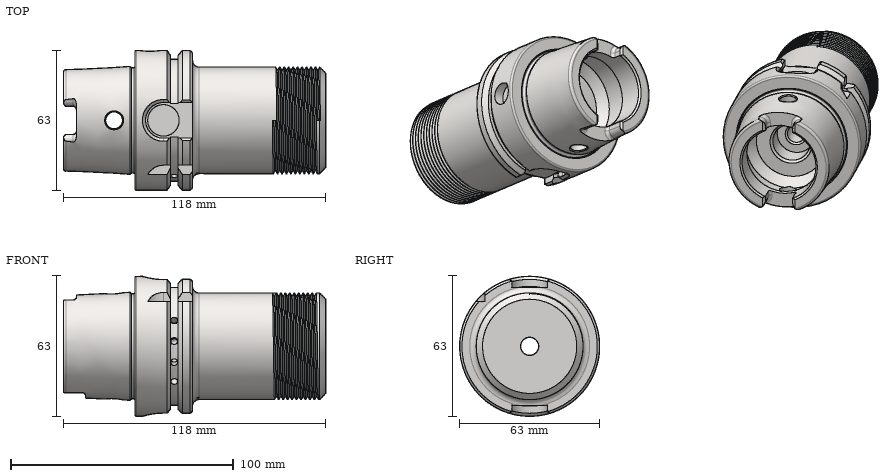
import cadquery as cq
import math

TOTAL_LENGTH = 118.0

MOUTH_RADIUS = 22.9
TAPER_END_X = 29.9
TAPER_SLOPE = 1 / 20
MOUTH_ROUND = 1.2
RELIEF_RADIUS = 23.7
RELIEF_START_X = 30.7
RELIEF_END_X = 31.4
FACE_RELIEF_RADIUS = 25.0
FACE_RELIEF_DEPTH = 0.2
FACE_RELIEF_FLARE = 0.5

FLANGE_X = 32.1
FLANGE_RADIUS = 31.5
FLANGE_EDGE_ROUND = 0.8
GROOVE_START_X = 48.1
GROOVE_END_X = 51.5
GROOVE_LIP_RADIUS = 29.3
GROOVE_FLOOR_RADIUS = 27.6
FRONT_LIP_LENGTH = 1.5
REAR_LIP_LENGTH = 2.0
FLANGE_END_X = 58.0
REAR_EDGE_CHAMFER = 1.1

NOSE_DIAMETER = 48.0
NOSE_RADIUS = NOSE_DIAMETER / 2
NOSE_FILLET = 3.0
NOSE_CHAMFER = 2.8
THREAD_PITCH = 2.0
THREAD_TURNS = 10
THREAD_DEPTH = 1.2
THREAD_CREST = THREAD_PITCH / 8
THREAD_ROOT = THREAD_PITCH / 4
THREAD_START_X = 94.8
THREAD_OVERSHOOT = 0.4

BORE_RADIUS = 16.9
BORE_CHAMFER = 0.8
BORE_GUIDE_DEPTH = 12.6
RECESS_RADIUS = 20.0
RECESS_END_X = 26.1
BORE_FLOOR_RADIUS = 15.8
BORE_DEPTH = RECESS_END_X + RECESS_RADIUS - BORE_FLOOR_RADIUS
TUBE_BORE_RADIUS = 8.5
TUBE_BORE_CHAMFER = 1.1
TUBE_BORE_DEPTH = 11.8
THROUGH_RADIUS = 4.0
THROUGH_CHAMFER = 0.8

KEY_HALF_WIDTH = 6.3
KEY_TOP_DEPTH = 5.8
KEY_BOTTOM_DEPTH = 9.9
KEY_FLARE_RADIUS = 3.0
KEY_FLARE_Z = 17.9
KEY_FLOOR_FILLET = 1.4
KEY_MOUTH_CHAMFER = 1.2
KEY_MOUTH_CHAMFER_LENGTH = 1.0

DRIVE_CENTRE_X = 45.0
DRIVE_HALF_WIDTH = 8.0
DRIVE_FLOOR_Z = 26.5
DRIVE_FRONT_CHAMFER = 1.4
DRIVE_REAR_CHAMFER = 1.1
POCKET_RADIUS = 7.1
POCKET_DEPTH = 2.7

NOTCH_WALL_Y = -20.2
NOTCH_FLOOR_Z = 20.1
BALANCE_ANGLES = (25, 5, -15, -35)
BALANCE_RADIUS = 1.5
BALANCE_DEPTH = 5.9
DRILL_POINT_ANGLE = 118
CHIP_HOLE_X = 38.9
CHIP_HOLE_RADIUS = 5.0
CHIP_HOLE_DEPTH = 4.6
CHIP_HOLE_ANGLE = 180
CROSS_HOLE_X = 22.8
CROSS_HOLE_RADIUS = 3.8
CROSS_HOLE_CHAMFER = 0.5

SELECT_MARGIN = 0.1
CLEARANCE = 5.9


def revolve_about_x(profile):
    """Turn a closed (x, radius) profile around the X axis."""
    return profile.close().revolve(360, (0, 0, 0), (1, 0, 0))


def mirrored_boxes(x_range, half_width, z_range):
    """Edge selector for a box above the axis and its mirror image below it."""
    low_x, high_x = x_range
    low_z, high_z = z_range
    upper = cq.selectors.BoxSelector((low_x, -half_width, low_z), (high_x, half_width, high_z))
    lower = cq.selectors.BoxSelector((low_x, -half_width, -high_z), (high_x, half_width, -low_z))
    return upper + lower


def shank():
    """Taper shank and its relief, still solid inside, running up to the gripper groove."""
    taper_end_radius = MOUTH_RADIUS + TAPER_SLOPE * (TAPER_END_X - MOUTH_ROUND)
    relief_floor_x = FLANGE_X + FACE_RELIEF_DEPTH
    fillet_radius = relief_floor_x - RELIEF_END_X
    relief_outer_radius = FACE_RELIEF_RADIUS + FACE_RELIEF_FLARE
    return revolve_about_x(
        cq.Workplane("XZ")
        .moveTo(0, 0)
        .lineTo(0, MOUTH_RADIUS - MOUTH_ROUND)
        .radiusArc((MOUTH_ROUND, MOUTH_RADIUS), MOUTH_ROUND)
        .lineTo(TAPER_END_X, taper_end_radius)
        .lineTo(RELIEF_START_X, RELIEF_RADIUS)
        .lineTo(RELIEF_END_X, RELIEF_RADIUS)
        .radiusArc((relief_floor_x, RELIEF_RADIUS + fillet_radius), -fillet_radius)
        .lineTo(relief_floor_x, FACE_RELIEF_RADIUS)
        .lineTo(FLANGE_X, relief_outer_radius)
        .lineTo(GROOVE_START_X, relief_outer_radius)
        .lineTo(GROOVE_START_X, 0)
    )


def drill_cross_hole(solid_shank):
    """Cross hole along Z through the solid shank, chamfered at both rims."""
    hole = (
        cq.Workplane("XY", origin=(CROSS_HOLE_X, 0, 0))
        .circle(CROSS_HOLE_RADIUS)
        .extrude(MOUTH_RADIUS + CLEARANCE, both=True)
    )
    drilled = solid_shank.cut(hole)
    rim_edges = mirrored_boxes(
        (CROSS_HOLE_X - CROSS_HOLE_RADIUS, CROSS_HOLE_X + CROSS_HOLE_RADIUS),
        CROSS_HOLE_RADIUS,
        (RELIEF_RADIUS - CROSS_HOLE_RADIUS, RELIEF_RADIUS + CLEARANCE),
    )
    return drilled.edges(rim_edges).chamfer(CROSS_HOLE_CHAMFER)


def drive_slot_cutter():
    """U-shaped slot above the top drive floor, open toward the nose."""
    height = FLANGE_RADIUS - DRIVE_FLOOR_Z + CLEARANCE
    end_x = FLANGE_END_X + CLEARANCE
    return (
        cq.Workplane("XY", origin=(0, 0, DRIVE_FLOOR_Z))
        .moveTo(end_x, -DRIVE_HALF_WIDTH)
        .lineTo(DRIVE_CENTRE_X, -DRIVE_HALF_WIDTH)
        .threePointArc((DRIVE_CENTRE_X - DRIVE_HALF_WIDTH, 0), (DRIVE_CENTRE_X, DRIVE_HALF_WIDTH))
        .lineTo(end_x, DRIVE_HALF_WIDTH)
        .close()
        .extrude(height)
    )


def both_sides(cutter):
    """A cutter at the top together with its mirror image at the bottom."""
    return cutter.union(cutter.mirror("XY"))


def slotted_disc(start_x, end_x, edge_chamfer):
    """Full-radius disc with both drive slots, bevelled where the slot walls meet its rim."""
    disc = cq.Workplane("YZ", origin=(start_x, 0, 0)).circle(FLANGE_RADIUS).extrude(end_x - start_x)
    disc = disc.cut(both_sides(drive_slot_cutter()))
    floor_corner = math.hypot(DRIVE_HALF_WIDTH, DRIVE_FLOOR_Z)
    rim_edges = mirrored_boxes(
        (start_x + SELECT_MARGIN, end_x - SELECT_MARGIN),
        DRIVE_HALF_WIDTH + SELECT_MARGIN,
        (floor_corner, FLANGE_RADIUS + SELECT_MARGIN),
    )
    return disc.edges(rim_edges).chamfer(edge_chamfer)


def front_collar():
    """Ring around the shank's thick end, in front of the gripper groove."""
    inner_radius = FACE_RELIEF_RADIUS + FACE_RELIEF_FLARE
    collar = slotted_disc(FLANGE_X, GROOVE_START_X, DRIVE_FRONT_CHAMFER)
    envelope = revolve_about_x(
        cq.Workplane("XY")
        .moveTo(FLANGE_X, inner_radius)
        .lineTo(FLANGE_X, FLANGE_RADIUS - FLANGE_EDGE_ROUND)
        .radiusArc((FLANGE_X + FLANGE_EDGE_ROUND, FLANGE_RADIUS), FLANGE_EDGE_ROUND)
        .lineTo(GROOVE_START_X - FRONT_LIP_LENGTH, FLANGE_RADIUS)
        .lineTo(GROOVE_START_X, GROOVE_LIP_RADIUS)
        .lineTo(GROOVE_START_X, inner_radius)
    )
    return collar.intersect(envelope)


def rear_collar():
    """Disc behind the gripper groove."""
    collar = slotted_disc(GROOVE_END_X, FLANGE_END_X, DRIVE_REAR_CHAMFER)
    envelope = revolve_about_x(
        cq.Workplane("XY")
        .moveTo(GROOVE_END_X, 0)
        .lineTo(GROOVE_END_X, GROOVE_LIP_RADIUS)
        .lineTo(GROOVE_END_X + REAR_LIP_LENGTH, FLANGE_RADIUS)
        .lineTo(FLANGE_END_X - REAR_EDGE_CHAMFER, FLANGE_RADIUS)
        .lineTo(FLANGE_END_X, FLANGE_RADIUS - REAR_EDGE_CHAMFER)
        .lineTo(FLANGE_END_X, 0)
    )
    return collar.intersect(envelope)


def groove_core():
    """Reduced disc that forms the floor of the gripper groove."""
    core = (
        cq.Workplane("YZ", origin=(GROOVE_START_X, 0, 0))
        .circle(GROOVE_FLOOR_RADIUS)
        .extrude(GROOVE_END_X - GROOVE_START_X)
    )
    return core.cut(both_sides(drive_slot_cutter()))


def nose():
    """Threaded end, with a fillet against the rear collar."""
    fillet_end_x = FLANGE_END_X + NOSE_FILLET
    return revolve_about_x(
        cq.Workplane("XZ")
        .moveTo(GROOVE_END_X, 0)
        .lineTo(GROOVE_END_X, NOSE_RADIUS)
        .lineTo(FLANGE_END_X, NOSE_RADIUS)
        .lineTo(FLANGE_END_X, NOSE_RADIUS + NOSE_FILLET)
        .radiusArc((fillet_end_x, NOSE_RADIUS), -NOSE_FILLET)
        .lineTo(TOTAL_LENGTH - NOSE_CHAMFER, NOSE_RADIUS)
        .lineTo(TOTAL_LENGTH, NOSE_RADIUS - NOSE_CHAMFER)
        .lineTo(TOTAL_LENGTH, 0)
    )


def thread_groove():
    """Right-hand helical groove, built along Z and then laid along X with its start at the top."""
    half_root = THREAD_ROOT / 2
    half_mouth = (THREAD_PITCH - THREAD_CREST) / 2
    flank_slope = (half_mouth - half_root) / THREAD_DEPTH
    half_outer = half_mouth + flank_slope * THREAD_OVERSHOOT
    root_radius = NOSE_RADIUS - THREAD_DEPTH
    outer_radius = NOSE_RADIUS + THREAD_OVERSHOOT
    helix = cq.Wire.makeHelix(THREAD_PITCH, THREAD_PITCH * THREAD_TURNS, NOSE_RADIUS)
    groove = (
        cq.Workplane("XZ")
        .polyline([
            (root_radius, -half_root),
            (outer_radius, -half_outer),
            (outer_radius, half_outer),
            (root_radius, half_root),
        ])
        .close()
        .sweep(cq.Workplane(helix), isFrenet=True)
    )
    return (
        groove.rotate((0, 0, 0), (0, 1, 0), 90)
        .rotate((0, 0, 0), (1, 0, 0), 180)
        .translate((THREAD_START_X, 0, 0))
    )


def stepped_bore():
    """Bore with its clamping recess, the narrower tube bore and the through hole."""
    tube_floor_x = BORE_DEPTH + TUBE_BORE_DEPTH
    return revolve_about_x(
        cq.Workplane("XZ")
        .moveTo(0, 0)
        .lineTo(0, BORE_RADIUS + BORE_CHAMFER)
        .lineTo(BORE_CHAMFER, BORE_RADIUS)
        .lineTo(BORE_GUIDE_DEPTH, BORE_RADIUS)
        .lineTo(BORE_GUIDE_DEPTH, RECESS_RADIUS)
        .lineTo(RECESS_END_X, RECESS_RADIUS)
        .lineTo(BORE_DEPTH, BORE_FLOOR_RADIUS)
        .lineTo(BORE_DEPTH, TUBE_BORE_RADIUS + TUBE_BORE_CHAMFER)
        .lineTo(BORE_DEPTH + TUBE_BORE_CHAMFER, TUBE_BORE_RADIUS)
        .lineTo(tube_floor_x, TUBE_BORE_RADIUS)
        .lineTo(tube_floor_x, THROUGH_RADIUS + THROUGH_CHAMFER)
        .lineTo(tube_floor_x + THROUGH_CHAMFER, THROUGH_RADIUS)
        .lineTo(TOTAL_LENGTH, THROUGH_RADIUS)
        .lineTo(TOTAL_LENGTH, 0)
    )


def key_slot_cutter(depth):
    """Slot across the top of the shank mouth, with flared walls and a filleted floor."""
    flare_y = KEY_HALF_WIDTH + KEY_FLARE_RADIUS
    flare_top_z = KEY_FLARE_Z + KEY_FLARE_RADIUS
    outer_y = MOUTH_RADIUS + CLEARANCE
    outer_z = MOUTH_RADIUS + CLEARANCE
    mid_y = flare_y - KEY_FLARE_RADIUS * math.cos(math.pi / 4)
    mid_z = KEY_FLARE_Z + KEY_FLARE_RADIUS * math.sin(math.pi / 4)
    slot = (
        cq.Workplane("YZ")
        .moveTo(-KEY_HALF_WIDTH, 0)
        .lineTo(-KEY_HALF_WIDTH, KEY_FLARE_Z)
        .threePointArc((-mid_y, mid_z), (-flare_y, flare_top_z))
        .lineTo(-outer_y, flare_top_z)
        .lineTo(-outer_y, outer_z)
        .lineTo(outer_y, outer_z)
        .lineTo(outer_y, flare_top_z)
        .lineTo(flare_y, flare_top_z)
        .threePointArc((mid_y, mid_z), (KEY_HALF_WIDTH, KEY_FLARE_Z))
        .lineTo(KEY_HALF_WIDTH, 0)
        .close()
        .extrude(depth)
    )
    wall_edges = cq.selectors.BoxSelector(
        (depth - SELECT_MARGIN, SELECT_MARGIN - outer_y, SELECT_MARGIN),
        (depth + SELECT_MARGIN, outer_y - SELECT_MARGIN, flare_top_z + SELECT_MARGIN),
    )
    slot = slot.edges(wall_edges).fillet(KEY_FLOOR_FILLET)
    mouth_half_width = KEY_HALF_WIDTH + KEY_MOUTH_CHAMFER
    mouth_chamfer = (
        cq.Workplane("XY")
        .polyline([
            (0, -mouth_half_width),
            (KEY_MOUTH_CHAMFER_LENGTH, -KEY_HALF_WIDTH),
            (KEY_MOUTH_CHAMFER_LENGTH, KEY_HALF_WIDTH),
            (0, mouth_half_width),
        ])
        .close()
        .extrude(outer_z)
    )
    return slot.union(mouth_chamfer)


def data_pocket():
    """Round blind pocket sunk into the top drive slot floor."""
    return (
        cq.Workplane("XY", origin=(DRIVE_CENTRE_X, 0, DRIVE_FLOOR_Z - POCKET_DEPTH))
        .circle(POCKET_RADIUS)
        .extrude(POCKET_DEPTH + CLEARANCE)
    )


def orientation_notch():
    """Corner notch in the flange rim with a round end of the drive slot's radius."""
    centre_y = NOTCH_WALL_Y - DRIVE_HALF_WIDTH
    end_x = FLANGE_END_X + CLEARANCE
    return (
        cq.Workplane("XY", origin=(0, 0, NOTCH_FLOOR_Z))
        .moveTo(end_x, NOTCH_WALL_Y)
        .lineTo(DRIVE_CENTRE_X, NOTCH_WALL_Y)
        .threePointArc(
            (DRIVE_CENTRE_X - DRIVE_HALF_WIDTH, centre_y),
            (DRIVE_CENTRE_X, centre_y - DRIVE_HALF_WIDTH),
        )
        .lineTo(end_x, centre_y - DRIVE_HALF_WIDTH)
        .close()
        .extrude(FLANGE_RADIUS)
    )


def outward_direction(angle):
    """Radial direction; the angle is measured from -Y toward +Z."""
    return cq.Vector(0, -math.cos(math.radians(angle)), math.sin(math.radians(angle)))


def radial_hole(x, surface_radius, radius, depth, angle):
    """Flat-bottomed blind hole toward the axis."""
    outward = outward_direction(angle)
    floor_point = cq.Vector(x, 0, 0) + outward * (surface_radius - depth)
    return cq.Workplane(cq.Solid.makeCylinder(radius, depth + CLEARANCE, floor_point, outward))


def balance_hole(angle):
    """Drilled hole in the groove floor, ending in a cone."""
    x = (GROOVE_START_X + GROOVE_END_X) / 2
    hole = radial_hole(x, GROOVE_FLOOR_RADIUS, BALANCE_RADIUS, BALANCE_DEPTH, angle)
    outward = outward_direction(angle)
    cone_base = cq.Vector(x, 0, 0) + outward * (GROOVE_FLOOR_RADIUS - BALANCE_DEPTH)
    tip_length = BALANCE_RADIUS / math.tan(math.radians(DRILL_POINT_ANGLE / 2))
    tip = cq.Solid.makeCone(BALANCE_RADIUS, 0, tip_length, cone_base, outward * -1)
    return hole.union(cq.Workplane(tip))


def chip_hole():
    """Shallow data chip hole in the flange rim."""
    return radial_hole(CHIP_HOLE_X, FLANGE_RADIUS, CHIP_HOLE_RADIUS, CHIP_HOLE_DEPTH, CHIP_HOLE_ANGLE)


body = drill_cross_hole(shank())
for section in (front_collar(), groove_core(), rear_collar(), nose()):
    body = body.union(section)

body = body.cut(stepped_bore())
body = body.cut(key_slot_cutter(KEY_TOP_DEPTH))
body = body.cut(key_slot_cutter(KEY_BOTTOM_DEPTH).mirror("XY"))
body = body.cut(data_pocket())
body = body.cut(orientation_notch())

for hole_angle in BALANCE_ANGLES:
    body = body.cut(balance_hole(hole_angle))
body = body.cut(chip_hole())

result = body.cut(thread_groove())